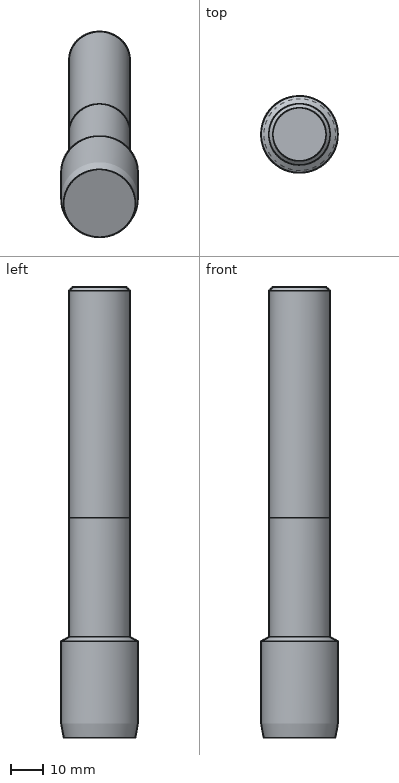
import cadquery as cq

total_length = 140.0
shank_diameter = 19.0
head_diameter = 24.0
head_bottom_diameter = 22.3
head_height = 31.4
head_chamfer_height = 1.4
lead_in_height = 4.5
lead_in_bulge = 0.04
joint_height = 68.3
tip_chamfer = 1.3

shank_radius = shank_diameter / 2
head_radius = head_diameter / 2
head_bottom_radius = head_bottom_diameter / 2


def make_headed_base():
    """Turned base: rounded lead-in, cylindrical head, chamfered shoulder and lower shank."""
    lead_in_middle = ((head_radius + head_bottom_radius) / 2 + lead_in_bulge, lead_in_height / 2)
    profile = (
        cq.Workplane("XZ")
        .lineTo(0, joint_height)
        .lineTo(shank_radius, joint_height)
        .lineTo(shank_radius, head_height)
        .lineTo(head_radius, head_height - head_chamfer_height)
        .lineTo(head_radius, lead_in_height)
        .threePointArc(lead_in_middle, (head_bottom_radius, 0))
        .close()
    )
    return profile.revolve(360, (0, 0, 0), (0, 1, 0))


def make_upper_rod():
    """Plain rod standing on the base, chamfered at its free end."""
    return (
        cq.Workplane("XY", origin=(0, 0, joint_height))
        .circle(shank_radius)
        .extrude(total_length - joint_height)
        .faces(">Z")
        .chamfer(tip_chamfer)
    )


headed_base = make_headed_base()
upper_rod = make_upper_rod()

result = cq.Compound.makeCompound([headed_base.val(), upper_rod.val()])